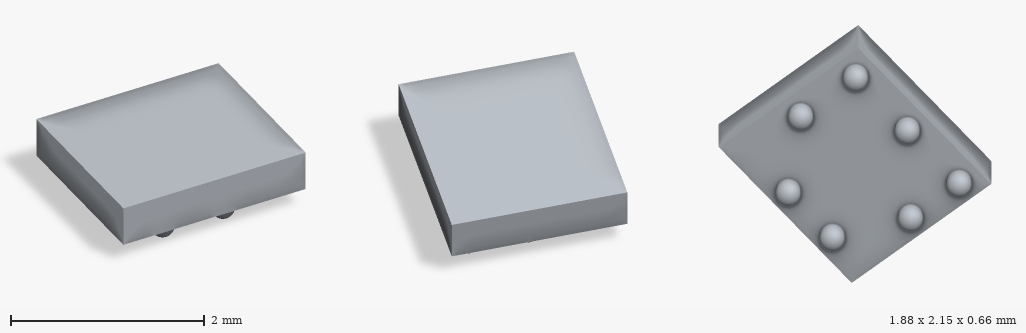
import cadquery as cq

length_x = 1.88
length_y = 2.15
total_height = 0.66
package_height = 0.455
film_thickness = 0.05

ball_diameter = 0.255
ball_radius = ball_diameter / 2
ball_column_x = 0.714
ball_row_pitch = 0.836
ball_row_offset_y = 0.01
rear_row_y = ball_row_offset_y + ball_row_pitch
front_row_y = ball_row_offset_y - ball_row_pitch
middle_rear_x = 0.025
middle_front_x = -0.06
right_rear_y = 0.221
right_front_y = -0.49
ball_positions = [
    (-ball_column_x, rear_row_y),
    (-ball_column_x, ball_row_offset_y),
    (-ball_column_x, front_row_y),
    (middle_rear_x, rear_row_y),
    (middle_front_x, front_row_y),
    (ball_column_x, right_rear_y),
    (ball_column_x, right_front_y),
]

mark_diameter = 0.225
mark_x = -0.699
mark_y = 0.851

die_bottom_z = total_height - package_height
film_bottom_z = total_height - film_thickness


def make_die():
    """Plain block between the balls and the film."""
    die_height = film_bottom_z - die_bottom_z
    return (
        cq.Workplane("XY", origin=(0, 0, die_bottom_z))
        .box(length_x, length_y, die_height, centered=(True, True, False))
    )


def make_mark():
    """Round disc that fills the hole in the film."""
    return (
        cq.Workplane("XY", origin=(mark_x, mark_y, film_bottom_z))
        .circle(mark_diameter / 2)
        .extrude(film_thickness)
    )


def make_film(mark):
    """Top layer with a hole that matches the orientation mark."""
    return (
        cq.Workplane("XY", origin=(0, 0, film_bottom_z))
        .box(length_x, length_y, film_thickness, centered=(True, True, False))
        .cut(mark)
    )


def make_ball(x, y):
    """Half profile revolved about the ball's vertical axis."""
    arc_middle = ball_radius * 0.5 ** 0.5
    return (
        cq.Workplane("XZ", origin=(x, y, 0))
        .moveTo(0, 0)
        .threePointArc((arc_middle, ball_radius - arc_middle), (ball_radius, ball_radius))
        .lineTo(ball_radius, die_bottom_z)
        .lineTo(0, die_bottom_z)
        .close()
        .revolve(360, (0, 0, 0), (0, 1, 0))
    )


die = make_die()
mark = make_mark()
film = make_film(mark)
balls = [make_ball(x, y).val() for x, y in ball_positions]

result = cq.Compound.makeCompound([die.val(), film.val(), mark.val(), *balls])